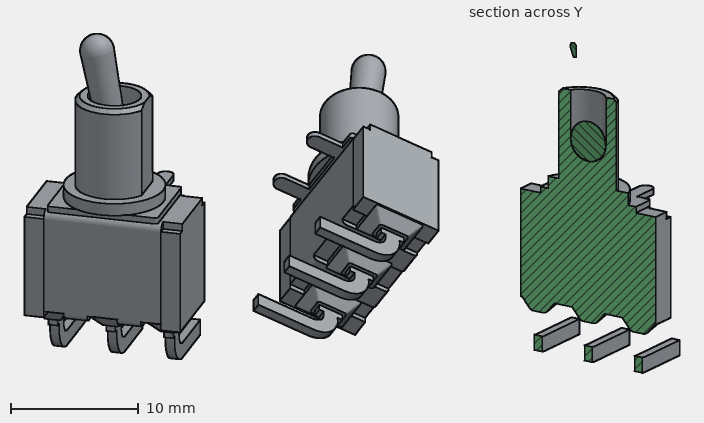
import cadquery as cq
import math


OVERALL_HEIGHT = 27.14

HOUSING_LENGTH = 12.7
HOUSING_WIDTH = 6.86
CASE_LENGTH = 9.56
CASE_SETBACK = 0.01
CASE_WIDTH = HOUSING_WIDTH - 2 * CASE_SETBACK
CASE_HEIGHT = 8.92
CASE_TOP_ROUND = 0.65
CASE_BOTTOM_ROUND = 0.4
LEDGE_DROP = 0.6
LEDGE_WIDTH = 0.62
FRAME_LENGTH = (HOUSING_LENGTH - CASE_LENGTH) / 2
FRAME_CENTER_X = (CASE_LENGTH + FRAME_LENGTH) / 2

NOTCH_HEIGHT = 0.49
MIDDLE_NOTCH_LENGTH = 2.44
END_NOTCH_LENGTH = 1.63

PLATE_LENGTH = 9.0
PLATE_THICKNESS = 0.5
PLATE_CORNER_ROUND = 0.25
TAB_WIDTH = 1.27
TAB_PITCH = 5.08
TAB_REACH = 6.2
PLATE_TOP = CASE_HEIGHT + PLATE_THICKNESS

FLANGE_DIAMETER = 7.98
FLANGE_THICKNESS = 1.0
BUSHING_DIAMETER = 6.17
BUSHING_HEIGHT = 7.51
BUSHING_CHAMFER = 0.35
BUSHING_FLAT_X = 2.66
FLANGE_TOP = PLATE_TOP + FLANGE_THICKNESS
BUSHING_TOP = FLANGE_TOP + BUSHING_HEIGHT

BALL_DIAMETER = 4.2
TIP_RADIUS = 1.35
LEVER_ROOT_RADIUS = 1.08
LEVER_LENGTH = 7.7
LEVER_TILT = 10.6
LEVER_TOP = 22.91
PIVOT_Z = LEVER_TOP - TIP_RADIUS - LEVER_LENGTH * math.cos(math.radians(LEVER_TILT))

TERMINAL_PITCH = 4.7
STANDOFF_LENGTH = 3.06
STANDOFF_WIDTH = 4.3
STANDOFF_HEIGHT = 1.0
STANDOFF_SLOPE_RUN = 0.86
STANDOFF_CORNER_ROUND = 0.25
SHOULDER_WIDTH = 2.07
SHOULDER_HEIGHT = 0.57
PIN_THICKNESS = 0.76
PIN_WIDTH = 1.27
BEND_INNER_RADIUS = 1.0
BEND_OUTER_RADIUS = BEND_INNER_RADIUS + PIN_WIDTH
PIN_BOTTOM = LEVER_TOP - OVERALL_HEIGHT
PIN_REACH = 6.6


def block(length, width, bottom, height, x=0.0):
    """Upright box centered on Y = 0."""
    return cq.Workplane("XY", origin=(x, 0, bottom)).rect(length, width).extrude(height)


def cylinder(diameter, bottom, height):
    """Upright cylinder on the bushing axis."""
    return cq.Workplane("XY", origin=(0, 0, bottom)).circle(diameter / 2).extrude(height)


def make_notches():
    """Cutters for the case notches; each reaches in as far as the standoffs."""
    end_notch_x = (CASE_LENGTH - END_NOTCH_LENGTH) / 2
    notches = block(MIDDLE_NOTCH_LENGTH, CASE_WIDTH, 0, NOTCH_HEIGHT)
    for side in (-1, 1):
        notches = notches.union(block(END_NOTCH_LENGTH, CASE_WIDTH, 0, NOTCH_HEIGHT, side * end_notch_x))
    return notches.cut(block(CASE_LENGTH, STANDOFF_WIDTH, 0, NOTCH_HEIGHT))


def make_case():
    case = block(CASE_LENGTH, CASE_WIDTH, 0, CASE_HEIGHT)
    case = case.edges("|X and >Z").fillet(CASE_TOP_ROUND)
    case = case.edges("|X and <Z").fillet(CASE_BOTTOM_ROUND)
    return case.cut(make_notches())


def make_end_frame(side):
    x = side * FRAME_CENTER_X
    low_part = block(FRAME_LENGTH, HOUSING_WIDTH, 0, CASE_HEIGHT - LEDGE_DROP, x)
    raised_part = block(FRAME_LENGTH, HOUSING_WIDTH - 2 * LEDGE_WIDTH, 0, CASE_HEIGHT, x)
    return low_part.union(raised_part)


def make_cover_plate():
    plate = block(PLATE_LENGTH, CASE_WIDTH, CASE_HEIGHT, PLATE_THICKNESS)
    plate = plate.edges("|Z").fillet(PLATE_CORNER_ROUND)
    for side in (-1, 1):
        tab = (
            cq.Workplane("XY", origin=(side * TAB_PITCH / 2, 0, CASE_HEIGHT))
            .moveTo(-TAB_WIDTH / 2, 0)
            .lineTo(TAB_WIDTH / 2, 0)
            .lineTo(TAB_WIDTH / 2, TAB_REACH - TAB_WIDTH / 2)
            .threePointArc((0, TAB_REACH), (-TAB_WIDTH / 2, TAB_REACH - TAB_WIDTH / 2))
            .close()
            .extrude(PLATE_THICKNESS)
        )
        plate = plate.union(tab)
    return plate


def make_bushing():
    flange = cylinder(FLANGE_DIAMETER, PLATE_TOP, FLANGE_THICKNESS)
    barrel = cylinder(BUSHING_DIAMETER, FLANGE_TOP, BUSHING_HEIGHT)
    barrel = barrel.faces(">Z").edges().chamfer(BUSHING_CHAMFER)
    beyond_flat_x = BUSHING_FLAT_X + BUSHING_DIAMETER / 2
    barrel = barrel.cut(block(BUSHING_DIAMETER, BUSHING_DIAMETER, FLANGE_TOP, BUSHING_HEIGHT, beyond_flat_x))
    return flange.union(barrel)


def make_socket():
    """Bore of the bushing, ending in a round seat for the lever ball."""
    bore = cylinder(BALL_DIAMETER, PIVOT_Z, BUSHING_TOP - PIVOT_Z)
    seat = cq.Workplane("XY").sphere(BALL_DIAMETER / 2).translate((0, 0, PIVOT_Z))
    return bore.union(seat)


def make_standoff(x):
    taper = math.degrees(math.atan2(STANDOFF_SLOPE_RUN, STANDOFF_HEIGHT))
    standoff = cq.Workplane("XY").rect(STANDOFF_LENGTH, STANDOFF_WIDTH).extrude(-STANDOFF_HEIGHT, taper=taper)
    standoff = standoff.edges("not #Z").fillet(STANDOFF_CORNER_ROUND)
    return standoff.translate((x, 0, 0))


def make_pin(x):
    """Terminal pin that leaves its shoulder downward and bends toward +Y."""
    shoulder_bottom = -STANDOFF_HEIGHT - SHOULDER_HEIGHT
    shoulder = block(PIN_THICKNESS, SHOULDER_WIDTH, shoulder_bottom, SHOULDER_HEIGHT, x)
    half_width = PIN_WIDTH / 2
    bend_y = half_width + BEND_INNER_RADIUS
    bend_z = PIN_BOTTOM + BEND_OUTER_RADIUS
    diagonal = math.sqrt(0.5)
    outer_mid = (bend_y - BEND_OUTER_RADIUS * diagonal, bend_z - BEND_OUTER_RADIUS * diagonal)
    inner_mid = (bend_y - BEND_INNER_RADIUS * diagonal, bend_z - BEND_INNER_RADIUS * diagonal)
    leg = (
        cq.Workplane("YZ", origin=(x, 0, 0))
        .moveTo(-half_width, -STANDOFF_HEIGHT)
        .lineTo(-half_width, bend_z)
        .threePointArc(outer_mid, (bend_y, PIN_BOTTOM))
        .lineTo(PIN_REACH, PIN_BOTTOM)
        .lineTo(PIN_REACH, PIN_BOTTOM + PIN_WIDTH)
        .lineTo(bend_y, PIN_BOTTOM + PIN_WIDTH)
        .threePointArc(inner_mid, (half_width, bend_z))
        .lineTo(half_width, -STANDOFF_HEIGHT)
        .close()
        .extrude(PIN_THICKNESS / 2, both=True)
    )
    return shoulder.union(leg)


def make_housing():
    housing = make_case().union(make_cover_plate()).union(make_bushing())
    for side in (-1, 1):
        housing = housing.union(make_end_frame(side))
    for place in (-1, 0, 1):
        x = place * TERMINAL_PITCH
        housing = housing.union(make_standoff(x)).union(make_pin(x))
    return housing.cut(make_socket())


def make_lever():
    """Ball and tapered handle with a round tip, tilted about the ball center."""
    ball = cq.Workplane("XY").sphere(BALL_DIAMETER / 2)
    handle = (
        cq.Workplane("XZ")
        .lineTo(LEVER_ROOT_RADIUS, 0)
        .lineTo(TIP_RADIUS, LEVER_LENGTH)
        .radiusArc((0, LEVER_LENGTH + TIP_RADIUS), -TIP_RADIUS)
        .close()
        .revolve(360, (0, 0), (0, 1))
    )
    lever = ball.union(handle).rotate((0, 0, 0), (0, 1, 0), -LEVER_TILT)
    return lever.translate((0, 0, PIVOT_Z))


housing = make_housing()
lever = make_lever()

result = cq.Compound.makeCompound([housing.solids().val(), lever.solids().val()])